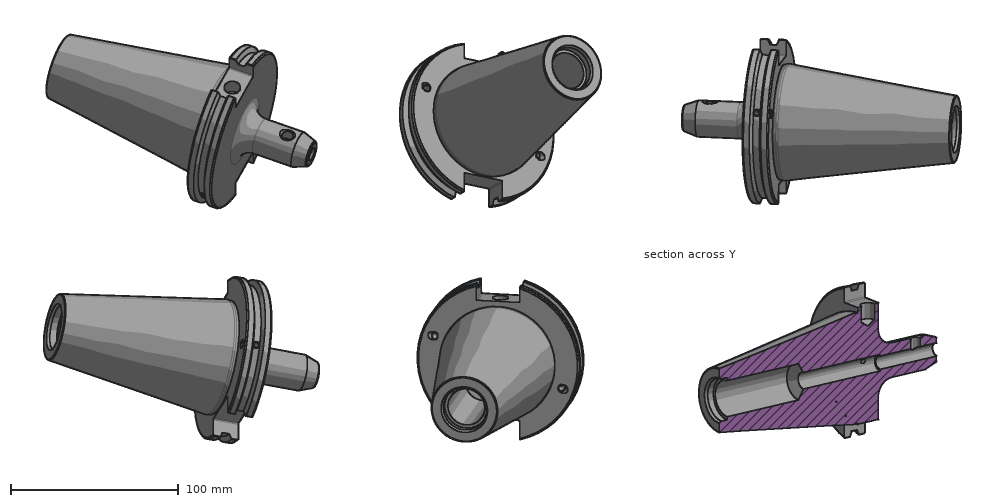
import cadquery as cq
import math


GAUGE_DIAMETER = 69.85
TAPER_LENGTH = 101.6
TAPER_RATIO = 7 / 24
SMALL_END_CHAMFER = 0.5
LAND_LENGTH = 1.3
RELIEF_DIAMETER = 69.25
RELIEF_START = 2.6

FLANGE_START = 3.175
FLANGE_END = 19.05
FLANGE_DIAMETER = 98.43
FLANGE_CHAMFER = 0.9
GROOVE_CENTER = 11.1
GROOVE_FLOOR_WIDTH = 4.0
GROOVE_FLOOR_DIAMETER = 91.7
GROOVE_TOP_WIDTH = 7.0

SLOT_WIDTH = 26.2
SLOT_RIM_CHAMFER = 0.35
SLOT_FLOOR_FILLET = 0.6
UPPER_SLOT_FLOOR = 37.8
LOWER_SLOT_FLOOR = 35.3
SLOT_HOLE_DIAMETER = 9.53
SLOT_HOLE_DEPTH = 10.0
DRILL_POINT_ANGLE = 118

NOSE_END = 63.0
NOSE_DIAMETER = 21.97
NOSE_FILLET = 10.0
NOSE_CONE_START = 54.2
NOSE_CONE_ANGLE = 20
NOSE_CHAMFER = 0.7

MOUTH_DIAMETER = 28.2
MOUTH_HALF_ANGLE = 30
COUNTERBORE_DIAMETER = 26.2
COUNTERBORE_DEPTH = 6.0
THREAD_BORE_DIAMETER = 22.35
THREAD_BORE_DEPTH = 60.0
COOLANT_BORE_DIAMETER = 10.0
TOOL_BORE_DIAMETER = 7.94
TOOL_BORE_START = 20.0

SET_SCREW_X = 47.1
SET_SCREW_DIAMETER = 6.78
SET_SCREW_MOUTH_DIAMETER = 9.4

COOLANT_ANGLE = 20
CROSS_HOLE_DIAMETER = 3.24
CROSS_HOLE_MOUTH_DIAMETER = 4.13
INLET_RADIUS = 42.0
INLET_TILT = 35
INLET_MOUTH_DIAMETER = 5.0
INLET_MOUTH_DEPTH = 1.7
INLET_DIAMETER = 4.2


def revolve_about_x(profile):
    return profile.close().revolve(360, (0, 0, 0), (1, 0, 0))


def revolve_about_z(profile, x):
    return profile.close().revolve(360, (0, 0, 0), (0, 1, 0)).translate((x, 0, 0))


def holder_body():
    gauge_radius = GAUGE_DIAMETER / 2
    small_radius = gauge_radius - TAPER_LENGTH * TAPER_RATIO / 2
    chamfer_rise = SMALL_END_CHAMFER * TAPER_RATIO / 2
    relief_radius = RELIEF_DIAMETER / 2
    flange_radius = FLANGE_DIAMETER / 2
    nose_radius = NOSE_DIAMETER / 2
    cone_end = NOSE_END - NOSE_CHAMFER
    cone_end_radius = nose_radius - (cone_end - NOSE_CONE_START) * math.tan(math.radians(NOSE_CONE_ANGLE))
    fillet_diagonal = NOSE_FILLET * (1 - math.sqrt(0.5))
    profile = (
        cq.Workplane("XY")
        .moveTo(-TAPER_LENGTH, 0)
        .lineTo(-TAPER_LENGTH, small_radius - SMALL_END_CHAMFER)
        .lineTo(-TAPER_LENGTH + SMALL_END_CHAMFER, small_radius + chamfer_rise)
        .lineTo(0, gauge_radius)
        .lineTo(LAND_LENGTH, gauge_radius)
        .lineTo(RELIEF_START, relief_radius)
        .lineTo(FLANGE_START, relief_radius)
        .lineTo(FLANGE_START, flange_radius - FLANGE_CHAMFER)
        .lineTo(FLANGE_START + FLANGE_CHAMFER, flange_radius)
        .lineTo(FLANGE_END - FLANGE_CHAMFER, flange_radius)
        .lineTo(FLANGE_END, flange_radius - FLANGE_CHAMFER)
        .lineTo(FLANGE_END, nose_radius + NOSE_FILLET)
        .threePointArc(
            (FLANGE_END + fillet_diagonal, nose_radius + fillet_diagonal),
            (FLANGE_END + NOSE_FILLET, nose_radius),
        )
        .lineTo(NOSE_CONE_START, nose_radius)
        .lineTo(cone_end, cone_end_radius)
        .lineTo(NOSE_END, cone_end_radius - NOSE_CHAMFER)
        .lineTo(NOSE_END, 0)
    )
    return revolve_about_x(profile)


def gripper_groove():
    floor_radius = GROOVE_FLOOR_DIAMETER / 2
    rim_radius = FLANGE_DIAMETER / 2
    profile = (
        cq.Workplane("XY")
        .moveTo(GROOVE_CENTER - GROOVE_FLOOR_WIDTH / 2, floor_radius)
        .lineTo(GROOVE_CENTER + GROOVE_FLOOR_WIDTH / 2, floor_radius)
        .lineTo(GROOVE_CENTER + GROOVE_TOP_WIDTH / 2, rim_radius)
        .lineTo(GROOVE_CENTER - GROOVE_TOP_WIDTH / 2, rim_radius)
    )
    return revolve_about_x(profile)


def central_bore():
    mouth_radius = MOUTH_DIAMETER / 2
    counterbore_radius = COUNTERBORE_DIAMETER / 2
    thread_radius = THREAD_BORE_DIAMETER / 2
    coolant_radius = COOLANT_BORE_DIAMETER / 2
    tool_radius = TOOL_BORE_DIAMETER / 2
    mouth_depth = (mouth_radius - counterbore_radius) / math.tan(math.radians(MOUTH_HALF_ANGLE))
    thread_end = -TAPER_LENGTH + THREAD_BORE_DEPTH
    drill_point = (thread_radius - coolant_radius) / math.tan(math.radians(DRILL_POINT_ANGLE / 2))
    profile = (
        cq.Workplane("XY")
        .moveTo(-TAPER_LENGTH, 0)
        .lineTo(-TAPER_LENGTH, mouth_radius)
        .lineTo(-TAPER_LENGTH + mouth_depth, counterbore_radius)
        .lineTo(-TAPER_LENGTH + COUNTERBORE_DEPTH, counterbore_radius)
        .lineTo(-TAPER_LENGTH + COUNTERBORE_DEPTH, thread_radius)
        .lineTo(thread_end, thread_radius)
        .lineTo(thread_end + drill_point, coolant_radius)
        .lineTo(TOOL_BORE_START, coolant_radius)
        .lineTo(TOOL_BORE_START, tool_radius)
        .lineTo(NOSE_END, tool_radius)
        .lineTo(NOSE_END, 0)
    )
    return revolve_about_x(profile)


def drive_slot(floor_distance, turn):
    """Slot across the flange with rounded floor corners and chamfered edges at the rim."""
    half_width = SLOT_WIDTH / 2
    rim_radius = FLANGE_DIAMETER / 2
    flare_end = math.sqrt(rim_radius**2 - (half_width + SLOT_RIM_CHAMFER) ** 2)
    flare_start = flare_end - SLOT_RIM_CHAMFER
    top_half_width = half_width + rim_radius - flare_start
    slot = (
        cq.Workplane("YZ")
        .polyline(
            [
                (-half_width, floor_distance),
                (half_width, floor_distance),
                (half_width, flare_start),
                (top_half_width, rim_radius),
                (-top_half_width, rim_radius),
                (-half_width, flare_start),
            ]
        )
        .close()
        .extrude(FLANGE_END - FLANGE_START)
        .edges("|X and <Z")
        .fillet(SLOT_FLOOR_FILLET)
    )
    return slot.translate((FLANGE_START, 0, 0)).rotate((0, 0, 0), (1, 0, 0), turn)


def slot_hole():
    radius = SLOT_HOLE_DIAMETER / 2
    point = radius / math.tan(math.radians(DRILL_POINT_ANGLE / 2))
    floor = UPPER_SLOT_FLOOR - SLOT_HOLE_DEPTH
    profile = (
        cq.Workplane("XZ")
        .moveTo(0, UPPER_SLOT_FLOOR)
        .lineTo(radius, UPPER_SLOT_FLOOR)
        .lineTo(radius, floor)
        .lineTo(0, floor - point)
    )
    return revolve_about_z(profile, GROOVE_CENTER)


def set_screw_hole():
    radius = SET_SCREW_DIAMETER / 2
    mouth_radius = SET_SCREW_MOUTH_DIAMETER / 2
    top = NOSE_DIAMETER / 2
    profile = (
        cq.Workplane("XZ")
        .lineTo(radius, 0)
        .lineTo(radius, top - (mouth_radius - radius))
        .lineTo(mouth_radius, top)
        .lineTo(0, top)
    )
    return revolve_about_z(profile, SET_SCREW_X)


def coolant_passage():
    """Cross hole from the groove to the central bore, fed by a tilted inlet in the flange face."""
    tilt = math.radians(INLET_TILT)
    entry = cq.Vector(FLANGE_START, INLET_RADIUS, 0)
    direction = cq.Vector(math.cos(tilt), -math.sin(tilt), 0)
    inlet_length = (GROOVE_CENTER - FLANGE_START) / math.cos(tilt)
    overshoot = INLET_MOUTH_DIAMETER * math.tan(tilt)
    start = entry - direction * overshoot
    mouth = cq.Solid.makeCylinder(
        INLET_MOUTH_DIAMETER / 2, INLET_MOUTH_DEPTH + overshoot, start, direction
    )
    inlet = cq.Solid.makeCylinder(INLET_DIAMETER / 2, inlet_length, entry, direction)
    cross_hole = cq.Solid.makeCylinder(
        CROSS_HOLE_DIAMETER / 2, FLANGE_DIAMETER / 2, cq.Vector(GROOVE_CENTER, 0, 0), cq.Vector(0, 1, 0)
    )
    cross_hole_mouth = cq.Solid.makeCone(
        CROSS_HOLE_MOUTH_DIAMETER / 2,
        CROSS_HOLE_DIAMETER / 2,
        (CROSS_HOLE_MOUTH_DIAMETER - CROSS_HOLE_DIAMETER) / 2,
        cq.Vector(GROOVE_CENTER, GROOVE_FLOOR_DIAMETER / 2, 0),
        cq.Vector(0, -1, 0),
    )
    passage = cq.Workplane(cross_hole)
    for part in (cross_hole_mouth, inlet, mouth):
        passage = passage.union(cq.Workplane(part))
    return passage.rotate((0, 0, 0), (1, 0, 0), COOLANT_ANGLE)


result = holder_body()
result = result.cut(gripper_groove())
result = result.cut(central_bore())
result = result.cut(drive_slot(UPPER_SLOT_FLOOR, 0))
result = result.cut(drive_slot(LOWER_SLOT_FLOOR, 180))
result = result.cut(slot_hole())
result = result.cut(set_screw_hole())
for turn in (0, 180):
    result = result.cut(coolant_passage().rotate((0, 0, 0), (1, 0, 0), turn))